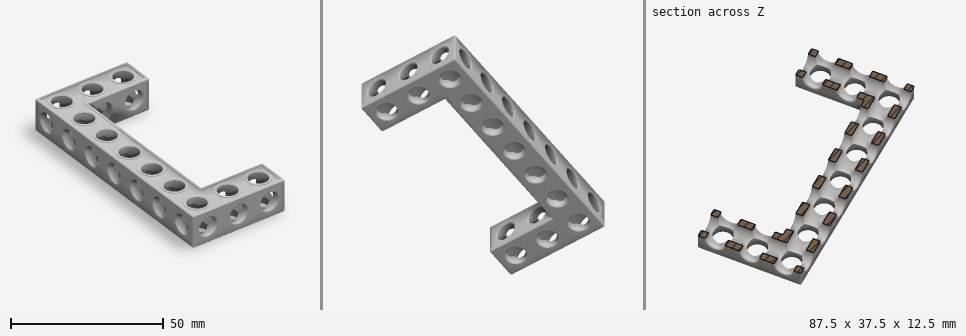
import cadquery as cq

LENGTH = 87.5
HOLES_LONG = 7
HOLES_ARM = 3
PITCH = LENGTH / HOLES_LONG
DEPTH = HOLES_ARM * PITCH
HEIGHT = PITCH

EDGE_CHAMFER = 0.3

BORE_DIAMETER = 7.0
BORE_CHAMFER = EDGE_CHAMFER

PANEL_MARGIN = 1.1
PANEL_DEPTH = 0.2
RING_DIAMETER = 9.2

LONG_POSITIONS = [(i + 0.5) * PITCH - LENGTH / 2 for i in range(HOLES_LONG)]
ARM_POSITIONS = [(i + 0.5) * PITCH - DEPTH / 2 for i in range(HOLES_ARM)]
MID_HEIGHT = HEIGHT / 2

BASE_HOLES = [(x, ARM_POSITIONS[0]) for x in LONG_POSITIONS]
ARM_HOLES = [(x, y) for x in (LONG_POSITIONS[0], LONG_POSITIONS[-1]) for y in ARM_POSITIONS[1:]]
TOP_HOLES = BASE_HOLES + ARM_HOLES


def u_outline(inset):
    """Closed U outline, moved inwards by inset on every side."""
    outer_x = LENGTH / 2 - inset
    inner_x = LENGTH / 2 - PITCH + inset
    back_y = DEPTH / 2 - inset
    front_y = -DEPTH / 2 + inset
    inner_y = -DEPTH / 2 + PITCH - inset
    return [
        (-outer_x, front_y),
        (outer_x, front_y),
        (outer_x, back_y),
        (inner_x, back_y),
        (inner_x, inner_y),
        (-inner_x, inner_y),
        (-inner_x, back_y),
        (-outer_x, back_y),
    ]


def bar_body():
    """U-shaped bar with every edge chamfered except the two inner corners of the U."""
    body = cq.Workplane("XY").polyline(u_outline(0)).close().extrude(HEIGHT)
    edges = body.faces("<Y or >Y or <Z or >Z").edges()
    return edges.chamfer(EDGE_CHAMFER)


def top_panel():
    """Material to remove from the top face, sparing the rings."""
    plane = cq.Workplane("XY").workplane(offset=HEIGHT - PANEL_DEPTH)
    panel = plane.polyline(u_outline(PANEL_MARGIN)).close().extrude(PANEL_DEPTH)
    rings = plane.pushPoints(TOP_HOLES).circle(RING_DIAMETER / 2).extrude(PANEL_DEPTH)
    return panel.cut(rings)


def bore(start, direction, span):
    """Through bore of length span from the start point, widened by a chamfer at both mouths."""
    radius = BORE_DIAMETER / 2
    mouth_radius = radius + BORE_CHAMFER
    begin = cq.Vector(*start)
    axis = cq.Vector(*direction)
    end = begin + axis * span
    shaft = cq.Solid.makeCylinder(radius, span, begin, axis)
    near_mouth = cq.Solid.makeCone(mouth_radius, radius, BORE_CHAMFER, begin, axis)
    far_mouth = cq.Solid.makeCone(mouth_radius, radius, BORE_CHAMFER, end, axis * -1)
    return [shaft, near_mouth, far_mouth]


def vertical_bores():
    """One bore along Z at every grid position."""
    cutters = []
    for x, y in TOP_HOLES:
        cutters += bore((x, y, 0), (0, 0, 1), HEIGHT)
    return cutters


def lengthwise_bores():
    """Bores along X: one down the whole base, the others across each arm."""
    left = -LENGTH / 2
    right_arm = LENGTH / 2 - PITCH
    cutters = bore((left, ARM_POSITIONS[0], MID_HEIGHT), (1, 0, 0), LENGTH)
    for y in ARM_POSITIONS[1:]:
        for arm_start in (left, right_arm):
            cutters += bore((arm_start, y, MID_HEIGHT), (1, 0, 0), PITCH)
    return cutters


def crosswise_bores():
    """Bores along Y: down each arm at the ends, across the base in between."""
    cutters = []
    for x in LONG_POSITIONS:
        at_arm = x in (LONG_POSITIONS[0], LONG_POSITIONS[-1])
        span = DEPTH if at_arm else PITCH
        cutters += bore((x, -DEPTH / 2, MID_HEIGHT), (0, 1, 0), span)
    return cutters


result = bar_body().cut(top_panel())
for cutter in vertical_bores() + lengthwise_bores() + crosswise_bores():
    result = result.cut(cq.Workplane(cutter))